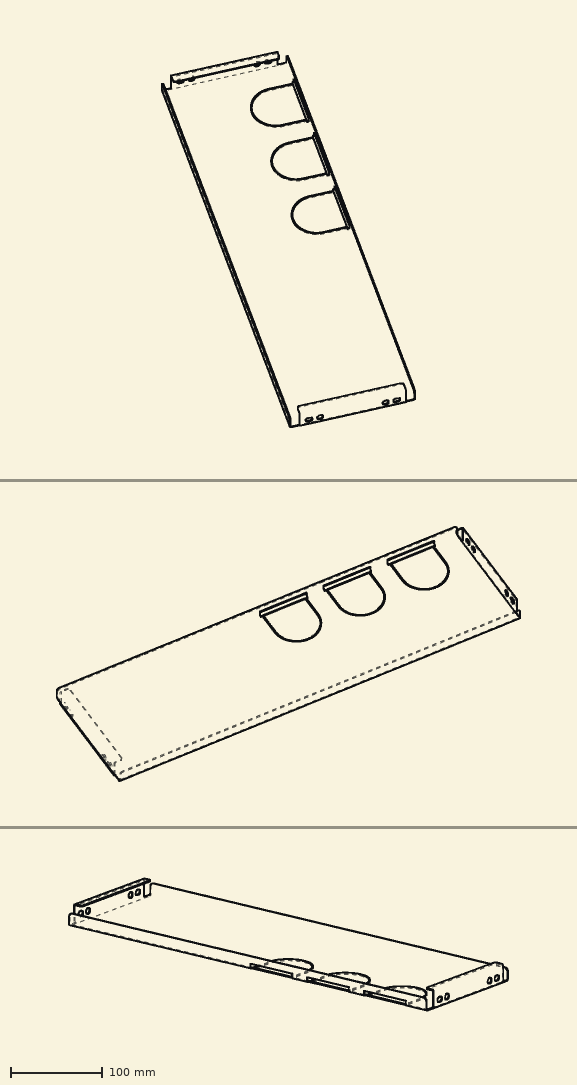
import cadquery as cq

LENGTH = 506.5
WIDTH = 144.0
HEIGHT = 22.5
SHEET = 1.5
INNER_BEND = 1.0
OUTER_BEND = INNER_BEND + SHEET

SIDE_WALL_LENGTH = 502.5
SIDE_WALL_HEIGHT = 14.5
SIDE_WALL_CORNER = 4.0

END_WALL_WIDTH = 121.5
LIP_DEPTH = 11.0
LIP_CORNER = 2.5

HOLE_Z = 8.5
ROUND_HOLE_DIAMETER = 7.0
ROUND_HOLE_Y = 37.5
SLOT_HOLE_Y = 50.0
SLOT_HOLE_LENGTH = 8.0
SLOT_HOLE_HEIGHT = 6.0

TAB_COUNT = 3
TAB_PITCH = 80.0
FIRST_TAB_X = -193.0
CUT_OUTER_RADIUS = 27.5
CUT_WIDTH = 1.0
CUT_END_Y = 14.0
BRIDGE_WIDTH = 1.5
WINDOW_WIDTH = 58.5
WINDOW_HEIGHT = 6.0
BEND_RELIEF = 0.5

TAB_BACK_Y = WIDTH / 2 - OUTER_BEND - BEND_RELIEF


def block(x_range, y_range, z_range):
    """Axis-aligned box given by its limits."""
    size = [high - low for low, high in (x_range, y_range, z_range)]
    corner = (x_range[0], y_range[0], z_range[0])
    return cq.Workplane("XY").box(*size, centered=False).translate(corner)


def side_channel():
    """Floor with a bent-up wall along each long side."""
    half = WIDTH / 2
    body = (
        cq.Workplane("YZ")
        .rect(WIDTH, 2 * SIDE_WALL_HEIGHT)
        .extrude(SIDE_WALL_LENGTH / 2, both=True)
        .intersect(block((-LENGTH, LENGTH), (-half, half), (0, HEIGHT)))
        .edges("|X and <Z")
        .fillet(OUTER_BEND)
    )
    cavity = (
        block((-LENGTH, LENGTH), (SHEET - half, half - SHEET), (SHEET, HEIGHT))
        .edges("|X and <Z")
        .fillet(INNER_BEND)
    )
    return body.cut(cavity).edges("|Y and >Z").edges("<X or >X").fillet(SIDE_WALL_CORNER)


def end_channel():
    """Floor strip with an end wall and an inward lip at both ends."""
    half_length = LENGTH / 2
    half_width = END_WALL_WIDTH / 2
    lip_gap = half_length - LIP_DEPTH
    body = (
        block((-half_length, half_length), (-half_width, half_width), (0, HEIGHT))
        .edges("|Y")
        .fillet(OUTER_BEND)
    )
    cavity = (
        block((SHEET - half_length, half_length - SHEET), (-WIDTH, WIDTH), (SHEET, HEIGHT - SHEET))
        .edges("|Y")
        .fillet(INNER_BEND)
    )
    opening = block((-lip_gap, lip_gap), (-WIDTH, WIDTH), (HEIGHT / 2, 2 * HEIGHT))
    strip = body.cut(cavity).cut(opening)
    lip_corners = cq.selectors.BoxSelector(
        (-lip_gap - SHEET, -WIDTH, HEIGHT - SHEET), (lip_gap + SHEET, WIDTH, HEIGHT)
    )
    return strip.edges("|Z").edges(lip_corners).fillet(LIP_CORNER)


def mounting_holes():
    """Round and slotted holes running through both end walls."""
    profile = (
        cq.Sketch()
        .push([(-ROUND_HOLE_Y, HOLE_Z), (ROUND_HOLE_Y, HOLE_Z)])
        .circle(ROUND_HOLE_DIAMETER / 2)
        .reset()
        .push([(-SLOT_HOLE_Y, HOLE_Z), (SLOT_HOLE_Y, HOLE_Z)])
        .slot(SLOT_HOLE_LENGTH - SLOT_HOLE_HEIGHT, SLOT_HOLE_HEIGHT)
    )
    return cq.Workplane("YZ").placeSketch(profile).extrude(LENGTH, both=True)


def u_shape(radius):
    """Upright prism through the floor: a half disc closed by straight sides at the back."""
    centre_y = CUT_END_Y + CUT_OUTER_RADIUS
    return (
        cq.Workplane("XY")
        .moveTo(-radius, TAB_BACK_Y)
        .lineTo(-radius, centre_y)
        .threePointArc((0, centre_y - radius), (radius, centre_y))
        .lineTo(radius, TAB_BACK_Y)
        .close()
        .extrude(SHEET)
    )


def knockout():
    """Narrow U-shaped cut left joined by one bridge, plus the window in the back bend."""
    cut = u_shape(CUT_OUTER_RADIUS).cut(u_shape(CUT_OUTER_RADIUS - CUT_WIDTH))
    half_bridge = BRIDGE_WIDTH / 2
    bridge = block((-half_bridge, half_bridge), (0, CUT_END_Y + 2 * CUT_WIDTH), (0, SHEET))
    half_window = WINDOW_WIDTH / 2
    window = block((-half_window, half_window), (TAB_BACK_Y, WIDTH), (0, WINDOW_HEIGHT))
    return cut.cut(bridge).union(window)


result = side_channel().union(end_channel()).cut(mounting_holes())
for index in range(TAB_COUNT):
    result = result.cut(knockout().translate((FIRST_TAB_X + index * TAB_PITCH, 0, 0)))